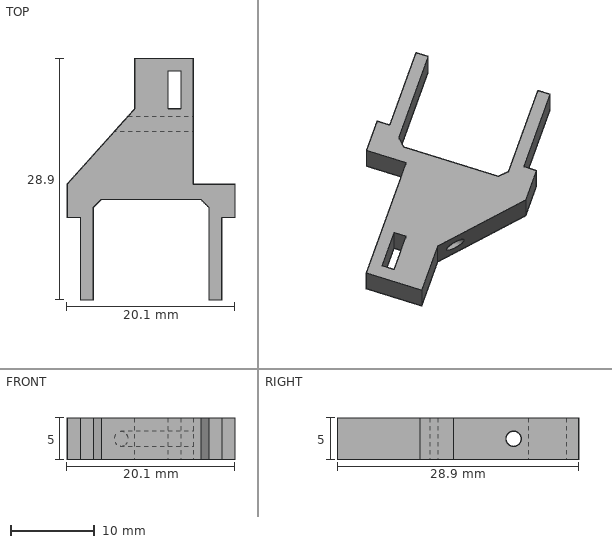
import cadquery as cq

thickness = 5.0
width = 20.08
length = 28.85

bar_front = 9.85
bar_back = 13.85
shoulder = 1.59

leg_width = 1.55
opening_back = 12.0
corner_chamfer = 0.95

tail_left = 8.08
tail_right = 15.08
slope_back = 22.85

slot_width = 1.5
slot_length = 4.5
slot_edge_gap = 1.5

hole_diameter = 1.8
hole_y = 21.05


def make_body():
    """Extrude the outline; X = 0 and Y = 0 are the left shoulder and the leg tips."""
    left_inner = shoulder + leg_width
    right_outer = width - shoulder
    right_inner = right_outer - leg_width
    chamfer_front = opening_back - corner_chamfer
    outline = [
        (shoulder, 0),
        (left_inner, 0),
        (left_inner, chamfer_front),
        (left_inner + corner_chamfer, opening_back),
        (right_inner - corner_chamfer, opening_back),
        (right_inner, chamfer_front),
        (right_inner, 0),
        (right_outer, 0),
        (right_outer, bar_front),
        (width, bar_front),
        (width, bar_back),
        (tail_right, bar_back),
        (tail_right, length),
        (tail_left, length),
        (tail_left, slope_back),
        (0, bar_back),
        (0, bar_front),
        (shoulder, bar_front),
    ]
    return cq.Workplane("XY").polyline(outline).close().extrude(thickness)


def make_slot():
    """Rectangular slot, set in from the tail's right side and rear end."""
    slot_x = tail_right - slot_edge_gap - slot_width
    slot_y = length - slot_edge_gap - slot_length
    slot = cq.Workplane("XY").box(slot_width, slot_length, thickness, centered=False)
    return slot.translate((slot_x, slot_y, 0))


def make_cross_hole():
    """Round hole running through the whole part along X."""
    return cq.Workplane("YZ").center(hole_y, thickness / 2).circle(hole_diameter / 2).extrude(width)


result = make_body().cut(make_slot()).cut(make_cross_hole())